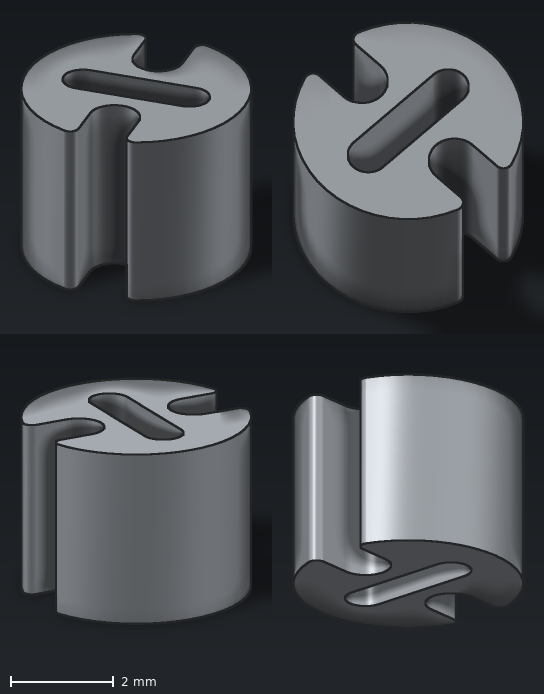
import cadquery as cq

diameter = 4.49
height = 3.5

slot_length = 3.0
slot_width = 0.8

notch_width = 1.0
web_thickness = 1.555
lip_radius = 0.18


def notch(direction):
    """Cutter for one notch; direction is +1 for +Y or -1 for -Y."""
    arc_center_y = web_thickness / 2 + notch_width / 2
    channel_length = diameter / 2
    round_bottom = cq.Workplane("XY").center(0, direction * arc_center_y).circle(notch_width / 2).extrude(height)
    channel = (
        cq.Workplane("XY")
        .center(0, direction * (arc_center_y + channel_length / 2))
        .rect(notch_width, channel_length)
        .extrude(height)
    )
    return round_bottom.union(channel)


body = cq.Workplane("XY").circle(diameter / 2).extrude(height)
for side in (1, -1):
    body = body.cut(notch(side))

lip_zone = 0.8 * diameter / 2
lip_edges = body.edges("|Z").filter(
    lambda edge: abs(edge.Center().y) > lip_zone and abs(edge.Center().x) < notch_width
)
body = body.newObject(lip_edges.vals()).fillet(lip_radius)

slot = cq.Workplane("XY").slot2D(slot_length, slot_width).extrude(height)
result = body.cut(slot)